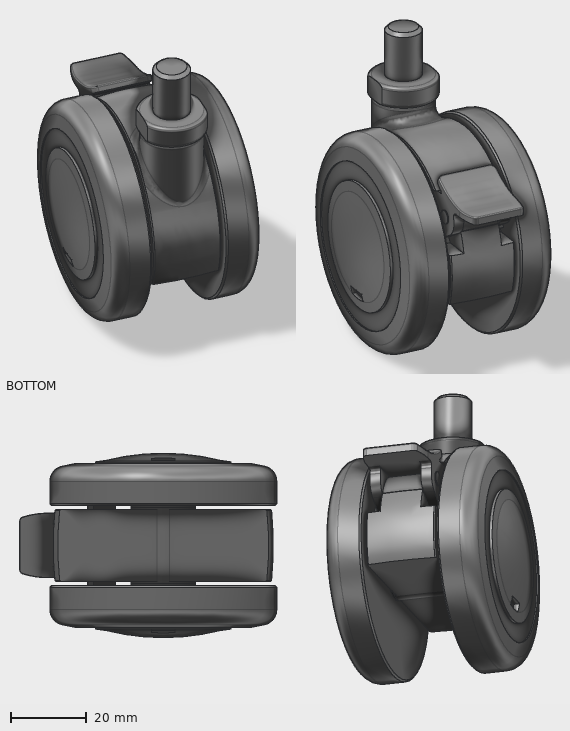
import cadquery as cq
import math


wheel_radius = 30.0
wheel_inner_face = 10.6
wheel_inner_edge = 0.5
tread_end = 16.9
shoulder_radius = 4.1
shoulder_end_radius = 26.7
recess_radius = 23.0
recess_depth = 0.4
cap_rim_radius = 17.9
cap_rim_face = 22.1
dome_radius = 15.0
dome_base = 22.5
dome_top = 24.38
notch_width = 6.1
notch_height = 2.55

drum_half_width = 9.6
drum_edge_radius = 28.6
drum_middle_radius = 29.1
drum_edge_chamfer = 0.3
drum_bottom = -8.4
hub_radius = 8.6
hub_joint = 10.1
neck_x = 17.1
neck_radius = 8.5
neck_top = 32.6
neck_top_fillet = 1.0
neck_root_fillet = 2.8

cavity_floor = 5.9
cavity_ceiling = 21.2
wall_foot_x = -20.5
wall_angle = math.radians(60)
post_half_width = 5.6
post_top = 18.0
post_round_start = (-26.3, 11.55)
post_round_middle = (-24.25, 15.35)
post_round_end = (-21.0, post_top)
pad_start = 1.0
pad_length = 11.8
pad_thickness = 1.69

stud_radius = 5.0
stud_top = 52.5
stud_chamfer = 1.0
collar_radius = 9.5
collar_height = 6.1
collar_fillet = 1.0
collar_across_flats = 17.1

lever_half_width = 8.54
lever_tip_x = -37.95
plate_bottom = 18.3
plate_low_x = -33.8
plate_low_z = 20.2
plate_top_radius = 25.0
plate_rear_x = -18.7
plate_rear_thickness = 1.6
plate_edge_fillet = 0.3
tip_side_length = 5.8
tip_side_inset = 1.3
tip_corner_fillet = 1.2
rear_corner_fillet = 1.6
notch_apex = (-20.9, 21.45)
arm_top = 20.95
arm_wall_gap = 0.2
pivot = (-23.3, 15.2)
arm_end_radius = 4.99
arm_root_fillet = 1.2
pin_radius = 1.9
pin_head_height = 0.29

far = 49.5


def wall_point(along, behind=0.0):
    """Point (x, z) a distance up the leaning wall from its foot and a distance behind its face."""
    x = wall_foot_x + along * math.cos(wall_angle) + behind * math.sin(wall_angle)
    z = cavity_floor + along * math.sin(wall_angle) - behind * math.cos(wall_angle)
    return (x, z)


def wall_point_at(z, behind=0.0):
    """Point (x, z) at a given height on the plane a distance behind the leaning wall."""
    along = (z - cavity_floor + behind * math.cos(wall_angle)) / math.sin(wall_angle)
    return wall_point(along, behind)


def slab(sketch, half_width):
    """Extrude a closed XZ outline equally to both sides of the middle plane."""
    return sketch.extrude(half_width, both=True)


def xz_plane():
    return cq.Workplane("XZ")


def make_wheel():
    """Wheel on the -Y side, with its hub cap."""
    shoulder_center_r = wheel_radius - shoulder_radius
    shoulder_end_angle = math.acos((shoulder_end_radius - shoulder_center_r) / shoulder_radius)
    shoulder_mid_angle = shoulder_end_angle / 2

    def shoulder_point(angle):
        r = shoulder_center_r + shoulder_radius * math.cos(angle)
        y = tread_end + shoulder_radius * math.sin(angle)
        return (r, -y)

    shoulder_end_y = tread_end + shoulder_radius * math.sin(shoulder_end_angle)
    side_slope = 1 / math.tan(shoulder_end_angle)
    side_face = shoulder_end_y + (shoulder_end_radius - recess_radius) * side_slope
    recess_face = side_face - recess_depth

    dome_rise = dome_top - dome_base
    sphere_radius = (dome_radius**2 + dome_rise**2) / (2 * dome_rise)
    dome_mid_r = dome_radius / 2
    dome_mid = dome_top - sphere_radius + math.sqrt(sphere_radius**2 - dome_mid_r**2)

    wheel = (
        cq.Workplane("XY")
        .moveTo(0, -hub_joint)
        .lineTo(hub_radius, -hub_joint)
        .lineTo(hub_radius, -wheel_inner_face)
        .lineTo(wheel_radius - wheel_inner_edge, -wheel_inner_face)
        .lineTo(wheel_radius, -wheel_inner_face - wheel_inner_edge)
        .lineTo(wheel_radius, -tread_end)
        .threePointArc(shoulder_point(shoulder_mid_angle), shoulder_point(shoulder_end_angle))
        .lineTo(recess_radius, -side_face)
        .lineTo(recess_radius, -recess_face)
        .lineTo(cap_rim_radius, -recess_face)
        .lineTo(cap_rim_radius, -cap_rim_face)
        .lineTo(dome_radius, -dome_base)
        .threePointArc((dome_mid_r, -dome_mid), (0, -dome_top))
        .close()
        .revolve(360, (0, 0, 0), (0, 1, 0))
    )

    notch = (
        xz_plane()
        .workplane(offset=recess_face)
        .circle(dome_radius)
        .extrude(dome_top - recess_face)
        .intersect(
            cq.Workplane("XY")
            .box(notch_width, far * 2, notch_height * 2)
            .translate((0, 0, -dome_radius))
        )
    )
    return wheel.cut(notch)


def make_drum_envelope():
    """Slab that trims the drum to its width and bevels its two rims."""
    return (
        cq.Workplane("XY")
        .moveTo(0, -drum_half_width)
        .lineTo(drum_edge_radius - drum_edge_chamfer, -drum_half_width)
        .lineTo(drum_edge_radius, drum_edge_chamfer - drum_half_width)
        .lineTo(far, drum_edge_chamfer - drum_half_width)
        .lineTo(far, drum_half_width - drum_edge_chamfer)
        .lineTo(drum_edge_radius, drum_half_width - drum_edge_chamfer)
        .lineTo(drum_edge_radius - drum_edge_chamfer, drum_half_width)
        .lineTo(0, drum_half_width)
        .close()
        .revolve(360, (0, 0, 0), (0, 1, 0))
    )


def make_drum():
    """Crowned drum about the wheel axis, with the stud neck filleted onto it."""
    crown_rise = drum_middle_radius - drum_edge_radius
    crown_radius = (drum_half_width**2 + crown_rise**2) / (2 * crown_rise)
    blank_half_width = 2 * drum_half_width
    blank_edge_radius = (
        drum_middle_radius - crown_radius + math.sqrt(crown_radius**2 - blank_half_width**2)
    )
    drum = (
        cq.Workplane("XY")
        .moveTo(0, -blank_half_width)
        .lineTo(blank_edge_radius, -blank_half_width)
        .threePointArc((drum_middle_radius, 0), (blank_edge_radius, blank_half_width))
        .lineTo(0, blank_half_width)
        .close()
        .revolve(360, (0, 0, 0), (0, 1, 0))
    )
    neck = (
        cq.Workplane("XY")
        .center(neck_x, 0)
        .circle(neck_radius)
        .extrude(neck_top)
        .faces(">Z")
        .edges()
        .fillet(neck_top_fillet)
    )
    neck_root_box = cq.selectors.BoxSelector(
        (neck_x - far, -neck_radius - 0.4, 0.8), (neck_x + far, neck_radius + 0.4, neck_top - 2.5)
    , boundingbox=True)
    body = drum.union(neck)
    body = body.edges(neck_root_box).fillet(neck_root_fillet)
    return body.intersect(make_drum_envelope())


def make_post_outline():
    return (
        xz_plane()
        .moveTo(-far, cavity_floor)
        .lineTo(-far, post_round_start[1])
        .lineTo(*post_round_start)
        .threePointArc(post_round_middle, post_round_end)
        .lineTo(*wall_point_at(post_top))
        .lineTo(*wall_point_at(cavity_floor))
        .close()
    )


def make_housing():
    housing = make_drum()

    below = cq.Workplane("XY").box(4 * far, 4 * far, far, centered=(True, True, False))
    housing = housing.cut(below.translate((0, 0, drum_bottom - far)))

    cavity_outline = (
        xz_plane()
        .moveTo(-far, cavity_floor)
        .lineTo(*wall_point_at(cavity_floor))
        .lineTo(*wall_point_at(cavity_ceiling))
        .lineTo(-far, cavity_ceiling)
        .close()
    )
    post = slab(make_post_outline(), post_half_width)
    housing = housing.cut(slab(cavity_outline, 2 * drum_half_width).cut(post))

    pad_outline = xz_plane().polyline(
        [
            wall_point(pad_start),
            wall_point(pad_start + pad_length),
            wall_point(pad_start + pad_length, pad_thickness),
            wall_point(pad_start, pad_thickness),
        ]
    ).close()
    housing = housing.union(slab(pad_outline, wheel_inner_face))
    return housing.union(slab(xz_plane().circle(hub_radius), hub_joint))


def make_stud():
    collar = (
        cq.Workplane("XY", origin=(neck_x, 0, neck_top))
        .circle(collar_radius)
        .extrude(collar_height)
        .edges()
        .fillet(collar_fillet)
    )
    flats = cq.Workplane("XY").box(4 * far, collar_across_flats, 4 * far)
    shank = (
        cq.Workplane("XY", origin=(neck_x, 0, neck_top))
        .circle(stud_radius)
        .extrude(stud_top - neck_top)
        .faces(">Z")
        .chamfer(stud_chamfer)
    )
    return collar.intersect(flats).union(shank)


def plate_top_point(x):
    """Point (x, z) on the hollow upper face of the lever plate."""
    z = plate_low_z + plate_top_radius - math.sqrt(plate_top_radius**2 - (x - plate_low_x) ** 2)
    return (x, z)


def make_lever_plate():
    rear_x, rear_z = plate_top_point(plate_rear_x)
    rear_angle = math.asin((plate_rear_x - plate_low_x) / plate_top_radius)
    rear_bottom = (
        rear_x + plate_rear_thickness * math.sin(rear_angle),
        rear_z - plate_rear_thickness * math.cos(rear_angle),
    )
    plate = slab(
        xz_plane()
        .moveTo(lever_tip_x, plate_bottom)
        .lineTo(*plate_top_point(lever_tip_x))
        .threePointArc(plate_top_point(plate_low_x), (rear_x, rear_z))
        .lineTo(*rear_bottom)
        .lineTo(*notch_apex)
        .lineTo(notch_apex[0], plate_bottom)
        .close(),
        lever_half_width,
    )
    rear_corners = cq.selectors.BoxSelector(
        (rear_x - 0.1, -far, rear_bottom[1] - 0.1),
        (rear_bottom[0] + 0.1, far, rear_z + 0.1),
    )
    plate = plate.edges(rear_corners).edges("not |Y").fillet(rear_corner_fillet)

    tip_side_radius = (tip_side_length**2 + tip_side_inset**2) / (2 * tip_side_inset)
    bow_start = lever_tip_x + tip_side_length + 0.8
    mid_inset = tip_side_radius - math.sqrt(tip_side_radius**2 - (tip_side_length / 2) ** 2)
    tip_half_width = lever_half_width - tip_side_inset
    plan = (
        cq.Workplane("XY")
        .moveTo(0, lever_half_width)
        .lineTo(bow_start, lever_half_width)
        .threePointArc(
            (bow_start - tip_side_length / 2, lever_half_width - mid_inset),
            (lever_tip_x, tip_half_width),
        )
        .lineTo(lever_tip_x, -tip_half_width)
        .threePointArc(
            (bow_start - tip_side_length / 2, -lever_half_width + mid_inset),
            (bow_start, -lever_half_width),
        )
        .lineTo(0, -lever_half_width)
        .close()
        .extrude(far)
        .edges("|Z and <X")
        .fillet(tip_corner_fillet)
    )
    return plate.intersect(plan)


def make_lever():
    tangent = (
        pivot[0] - arm_end_radius * math.cos(wall_angle),
        pivot[1] - arm_end_radius * math.sin(wall_angle),
    )
    lower_reach = (tangent[0] - wall_foot_x) * math.cos(wall_angle)
    lower_along = lower_reach + (tangent[1] - cavity_floor) * math.sin(wall_angle)
    arms = slab(
        xz_plane()
        .moveTo(*tangent)
        .lineTo(*wall_point(lower_along, -arm_wall_gap))
        .lineTo(*wall_point_at(arm_top, -arm_wall_gap))
        .lineTo(notch_apex[0], arm_top)
        .lineTo(pivot[0], plate_bottom)
        .lineTo(*pivot)
        .close(),
        lever_half_width,
    )
    arm_end = slab(xz_plane().center(*pivot).circle(arm_end_radius), lever_half_width)
    trim = cq.Workplane("XY").box(4 * far, 4 * far, far, centered=(True, True, False))
    arm_end = arm_end.cut(trim.translate((0, 0, plate_bottom)))
    lever = make_lever_plate().union(arms.union(arm_end))
    root_x = pivot[0] - math.sqrt(arm_end_radius**2 - (plate_bottom - pivot[1]) ** 2)
    root = cq.selectors.BoxSelector(
        (root_x - 0.1, -far, plate_bottom - 0.1), (root_x + 0.1, far, plate_bottom + 0.1)
    )
    lever = lever.edges(root).fillet(arm_root_fillet)
    plate_middle_x, plate_middle_z = plate_top_point((lever_tip_x + plate_rear_x) / 2)
    top_face = cq.selectors.NearestToPointSelector((plate_middle_x, 0, plate_middle_z))
    lever = lever.faces(top_face).edges().fillet(plate_edge_fillet)
    gap = cq.Workplane("XY").box(4 * far, 2 * post_half_width, far, centered=(True, True, False))
    lever = lever.cut(gap.translate((0, 0, plate_bottom - far)))
    pin = slab(xz_plane().center(*pivot).circle(pin_radius), lever_half_width + pin_head_height)
    return lever.union(pin.cut(slab(xz_plane().rect(4 * far, 4 * far), lever_half_width)))


near_wheel = make_wheel()
far_wheel = near_wheel.mirror("XZ")
housing = make_housing()
stud = make_stud()
lever = make_lever()
result = cq.Compound.makeCompound(
    [near_wheel.val(), far_wheel.val(), housing.val(), stud.val(), lever.val()]
)